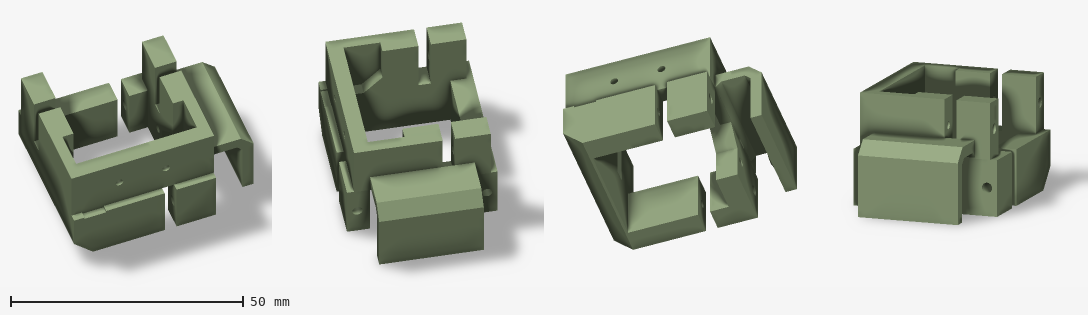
import cadquery as cq

width = 33.0
total_depth = 43.5
height = 25.0
base_depth = 32.85
upper_depth = 32.97
ledge = 1.52
ledge_z = 12.5
front_chamfer_y = 4.4
front_chamfer_z = 4.55

side_wall = 5.05
front_wall = 5.0
back_wall = 5.0
inner_right = width - side_wall
inner_back = upper_depth - back_wall
slot_width = 2.75
front_back_slot_x = 9.3
side_slot_y = 20.95
pocket_x = 19.92
pocket_thickness = 2.45
pocket_back_y = 30.35
window_x = 13.3
window_z = 8.35
window_rise = pocket_x - window_x
pocket_slope = 4.15
notch_depth = 0.45

clearance_d = 2.3
pilot_d = 1.8
pilot_depth = 6.95
access_d = 2.0
screw_z = 18.85
front_screw_y = 2.5
back_screw_y = 30.55
side_screw_x = 2.3
side_screw_z = 6.2
wall_hole_ys = (11.1, 21.9)

hook_z = 16.57
hook_thickness = 2.55
hook_chamfer = 2.95
hook_fillet = 1.3
cone_x = 11.05
cone_z = 6.3
cone_r = 4.85
cone_tip_r = 2.65
cone_height = 1.35


def box(x0, x1, y0, y1, z0, z1):
    """Axis-aligned block between two opposite corners."""
    return cq.Workplane("XY").box(x1 - x0, y1 - y0, z1 - z0, centered=False).translate((x0, y0, z0))


def hole_x(y, z, x0, x1, diameter):
    """Cylinder along X."""
    return cq.Workplane("YZ", origin=(x0, y, z)).circle(diameter / 2).extrude(x1 - x0)


def hole_y(x, z, y0, y1, diameter):
    """Cylinder along Y."""
    return cq.Workplane("XZ", origin=(x, y0, z)).circle(diameter / 2).extrude(y0 - y1)


def make_frame():
    base = (
        cq.Workplane("YZ")
        .polyline([
            (front_chamfer_y, 0),
            (base_depth, 0),
            (base_depth, ledge_z),
            (0, ledge_z),
            (0, front_chamfer_z),
        ])
        .close()
        .extrude(width)
    )
    upper = box(ledge, width - ledge, 0, upper_depth, ledge_z, height)
    frame = base.union(upper)
    frame = frame.cut(box(side_wall, inner_right, front_wall, inner_back, 0, height))
    return frame.cut(box(0, side_wall, front_wall, inner_back, ledge_z, height))


def cut_openings(frame):
    slot_end = front_back_slot_x + slot_width
    frame = frame.cut(box(front_back_slot_x, slot_end, 0, upper_depth, ledge_z, height))
    frame = frame.cut(box(0, width, side_slot_y, side_slot_y + slot_width, 0, ledge_z))

    frame = frame.cut(box(pocket_x, inner_right, inner_back, pocket_back_y, 0, height))
    window = (
        cq.Workplane("XZ", origin=(0, upper_depth, 0))
        .polyline([
            (window_x, 0),
            (window_x, window_z),
            (window_x + ledge_z - window_z, ledge_z),
            (inner_right, ledge_z),
            (inner_right, 0),
        ])
        .close()
        .extrude(back_wall)
    )
    slope = (
        cq.Workplane("XZ", origin=(0, pocket_back_y, 0))
        .polyline([
            (window_x, window_z),
            (pocket_x, window_z + window_rise),
            (pocket_x, window_z),
        ])
        .close()
        .extrude(pocket_back_y - inner_back)
    )
    frame = frame.cut(window).cut(slope)

    pocket = (
        cq.Workplane("XZ", origin=(0, front_wall, 0))
        .polyline([
            (pocket_x, height),
            (pocket_x, ledge_z + pocket_slope),
            (pocket_x + pocket_slope, ledge_z),
            (inner_right, ledge_z),
            (inner_right, height),
        ])
        .close()
        .extrude(front_wall - pocket_thickness)
    )
    notch = box(
        width - ledge, width,
        pocket_thickness, pocket_thickness + front_wall,
        ledge_z - notch_depth, ledge_z,
    )
    return frame.cut(pocket).cut(notch)


def drill_holes(frame):
    pilot_x = front_back_slot_x + slot_width
    for y in (front_screw_y, back_screw_y):
        frame = frame.cut(hole_x(y, screw_z, 0, front_back_slot_x, clearance_d))
        frame = frame.cut(hole_x(y, screw_z, pilot_x, pilot_x + pilot_depth, pilot_d))
    for y in wall_hole_ys:
        frame = frame.cut(hole_x(y, screw_z, inner_right, width, pilot_d))
    clearance_y = side_slot_y + slot_width
    for x in (side_screw_x, width - side_screw_x):
        frame = frame.cut(hole_y(x, side_screw_z, clearance_y, base_depth, clearance_d))
        frame = frame.cut(hole_y(x, side_screw_z, side_slot_y - pilot_depth, side_slot_y, pilot_d))
    return frame.cut(hole_y(cone_x, cone_z, inner_back, upper_depth, access_d))


def make_hook():
    inner_y = total_depth - hook_thickness
    inner_z = hook_z - hook_thickness
    hook = (
        cq.Workplane("YZ", origin=(side_wall, 0, 0))
        .polyline([
            (upper_depth, hook_z),
            (total_depth - hook_chamfer, hook_z),
            (total_depth, hook_z - hook_chamfer),
            (total_depth, 0),
            (inner_y, 0),
            (inner_y, inner_z - hook_fillet),
            (inner_y - hook_fillet, inner_z),
            (upper_depth + hook_fillet, inner_z),
            (upper_depth, inner_z - hook_fillet),
        ])
        .close()
        .extrude(inner_right - side_wall)
    )
    seat = cq.Workplane(
        cq.Solid.makeCone(
            cone_r, cone_tip_r, cone_height,
            pnt=cq.Vector(cone_x, inner_y, cone_z), dir=cq.Vector(0, -1, 0),
        )
    )
    return hook.union(seat)


result = drill_holes(cut_openings(make_frame())).union(make_hook())